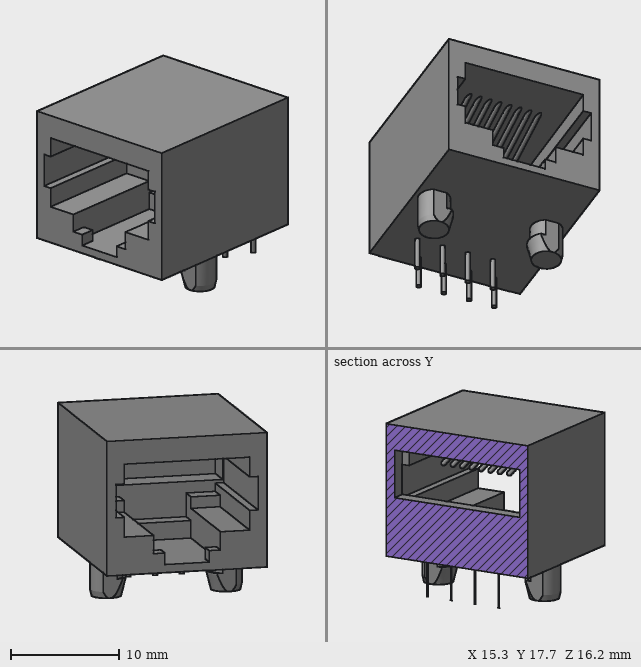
import cadquery as cq


width = 15.3
overall_depth = 17.74
overall_height = 16.2
peg_length = 3.5
insert_proud = 0.045
depth = overall_depth - insert_proud
height = overall_height - peg_length

insert_width = 13.41
insert_height = 11.9

body_half_width = 5.98
wing_half_width = 6.78
slot_half_width = 3.2
notch_half_width = 2.11
notch_floor = 0.78
lip_top = 1.86
shelf_floor = 3.58
wing_floor = 5.45
wing_ceiling = 8.6
ceiling_front = 10.47
ceiling_rear = 10.25
lip_depth = 1.47

step_depth = 10.65
plug_depth = 12.42
chamber_depth = 15.08
slot_step_top = 2.43
shelf_step_top = 4.67
chamber_floor = 5.75

contact_count = 8
wire_diameter = 0.46
contact_pitch = 1.01
contact_front = 3.9
contact_rear = 10.29
contact_tip_height = 8.67
pin_pitch = 1.28
pin_length = 3.25
pin_row_spacing = 2.52
pin_row_front = 13.96

peg_x = 5.7
peg_y = 7.6
peg_radius = 1.53
peg_tip_radius = 1.38
peg_flat_width = 2.75
peg_taper_height = 0.62
barb_radius = 1.8
barb_top = -1.72
barb_rim_height = 0.15


def centred_block(half_width, y_start, y_end, z_bottom, z_top):
    """Block symmetric about the YZ plane."""
    size = (2 * half_width, y_end - y_start, z_top - z_bottom)
    return cq.Workplane("XY").box(*size, centered=(True, False, False)).translate((0, y_start, z_bottom))


def plug_opening():
    """Stepped cavity that takes the plug, under a ceiling that falls towards the rear."""
    ceiling = [
        (0, wing_floor),
        (0, ceiling_front),
        (plug_depth, ceiling_rear),
        (plug_depth, wing_floor),
    ]
    opening = cq.Workplane("YZ").polyline(ceiling).close().extrude(body_half_width, both=True)
    blocks = [
        (wing_half_width, 0, plug_depth, wing_floor, wing_ceiling),
        (body_half_width, 0, step_depth, shelf_floor, wing_floor),
        (body_half_width, step_depth, plug_depth, shelf_step_top, wing_floor),
        (slot_half_width, 0, step_depth, lip_top, shelf_floor),
        (slot_half_width, step_depth, plug_depth, slot_step_top, shelf_step_top),
        (slot_half_width, lip_depth, step_depth, notch_floor, lip_top),
        (notch_half_width, 0, lip_depth, notch_floor, lip_top),
        (insert_width / 2, plug_depth, chamber_depth, chamber_floor, ceiling_rear),
    ]
    for block in blocks:
        opening = opening.union(centred_block(*block))
    return opening


def centred_positions(count, pitch):
    """Evenly spaced X positions about the centre."""
    return [(i - (count - 1) / 2) * pitch for i in range(count)]


def contact(x):
    """Sloping spring wire hanging from the ceiling, with its low end to the rear."""
    start = cq.Vector(x, contact_front, ceiling_front + wire_diameter / 2)
    end = cq.Vector(x, contact_rear, contact_tip_height)
    run = end - start
    wire = cq.Solid.makeCylinder(wire_diameter / 2, run.Length, start, run)
    tip = cq.Workplane("XY").sphere(wire_diameter / 2).translate(end)
    return tip.union(cq.Workplane(wire))


def solder_pin(x, y):
    """Round pin hanging below the housing."""
    return cq.Workplane("XY").center(x, y).circle(wire_diameter / 2).extrude(-pin_length)


def turned(outline):
    """Solid of revolution about Z from (radius, z) points."""
    return cq.Workplane("XZ").polyline(outline).close().revolve(360, (0, 0, 0), (0, 1, 0))


def peg():
    """Flat-sided peg with a tapered tip and a snap barb on its +X half."""
    taper_top = peg_taper_height - peg_length
    shaft = turned([
        (0, 0),
        (peg_radius, 0),
        (peg_radius, taper_top),
        (peg_tip_radius, -peg_length),
        (0, -peg_length),
    ])
    barb = turned([
        (0, barb_top),
        (barb_radius, barb_top),
        (barb_radius, barb_top - barb_rim_height),
        (peg_tip_radius, -peg_length),
        (0, -peg_length),
    ])
    slab_size = (barb_radius, peg_flat_width, peg_length)
    inner_slab = cq.Workplane("XY").box(*slab_size, centered=(False, True, False))
    inner_slab = inner_slab.translate((0, 0, -peg_length))
    full_slab = inner_slab.union(inner_slab.mirror("YZ"))
    return shaft.intersect(full_slab).union(barb.intersect(inner_slab))


housing = cq.Workplane("XY").box(width, depth, height, centered=(True, False, False))
insert = centred_block(insert_width / 2, chamber_depth, overall_depth, 0, insert_height)
result = housing.union(insert).cut(plug_opening())

for x in centred_positions(contact_count, contact_pitch):
    result = result.union(contact(x))

for i, x in enumerate(centred_positions(contact_count, pin_pitch)):
    result = result.union(solder_pin(x, pin_row_front + (i % 2) * pin_row_spacing))

left_peg = peg().translate((-peg_x, peg_y, 0))
result = result.union(left_peg).union(left_peg.mirror("YZ"))